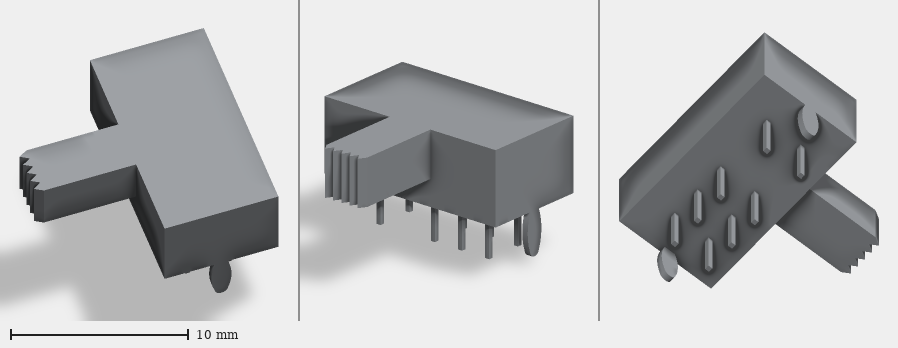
import cadquery as cq

overall_depth = 12.8
overall_height = 7.8

body_width = 12.6
body_depth = 6.8
pin_length = 3.1
body_height = overall_height - pin_length

lever_size = 3.0
lever_length = overall_depth - body_depth
tooth_count = 5
tooth_depth = 0.5

pin_thickness = 0.3
pin_pitch = 2.0
pin_positions = (-2, 0, 1, 2)
row_spacing = 2.51

tab_thickness = 0.4
tab_width = 1.2
tab_neck_width = 0.75
tab_side_height = 2.5
tab_length = 2.79

overlap = 0.13


def make_body():
    return cq.Workplane("XY").box(body_width, body_depth, body_height, centered=(True, True, False))


def make_lever():
    """Square bar whose front end is a row of V-shaped grip teeth."""
    front = -body_depth / 2
    tip = front - lever_length
    root = tip + tooth_depth
    left = -lever_size / 2
    right = lever_size / 2
    tooth_pitch = lever_size / tooth_count

    outline = [(right, front + overlap), (left, front + overlap), (left, root)]
    for i in range(tooth_count):
        outline.append((left + (i + 0.5) * tooth_pitch, tip))
        outline.append((left + (i + 1) * tooth_pitch, root))

    bottom = body_height - lever_size
    return cq.Workplane("XY").workplane(offset=bottom).polyline(outline).close().extrude(lever_size)


def make_pins():
    centres = [
        (position * pin_pitch, side * row_spacing / 2)
        for position in pin_positions
        for side in (-1, 1)
    ]
    return (
        cq.Workplane("XY")
        .workplane(offset=-pin_length)
        .pushPoints(centres)
        .rect(pin_thickness, pin_thickness)
        .extrude(pin_length + overlap)
    )


def make_tab(start_x):
    """Flat tab with bulging sides and a rounded lower end."""
    neck = tab_neck_width / 2
    bulge = tab_width / 2
    return (
        cq.Workplane("YZ")
        .workplane(offset=start_x)
        .moveTo(-neck, overlap)
        .lineTo(-neck, 0)
        .threePointArc((-bulge, -tab_side_height / 2), (-neck, -tab_side_height))
        .threePointArc((0, -tab_length), (neck, -tab_side_height))
        .threePointArc((bulge, -tab_side_height / 2), (neck, 0))
        .lineTo(neck, overlap)
        .close()
        .extrude(tab_thickness)
    )


result = make_body().union(make_lever()).union(make_pins())
for tab_start in (-body_width / 2, body_width / 2 - tab_thickness):
    result = result.union(make_tab(tab_start))